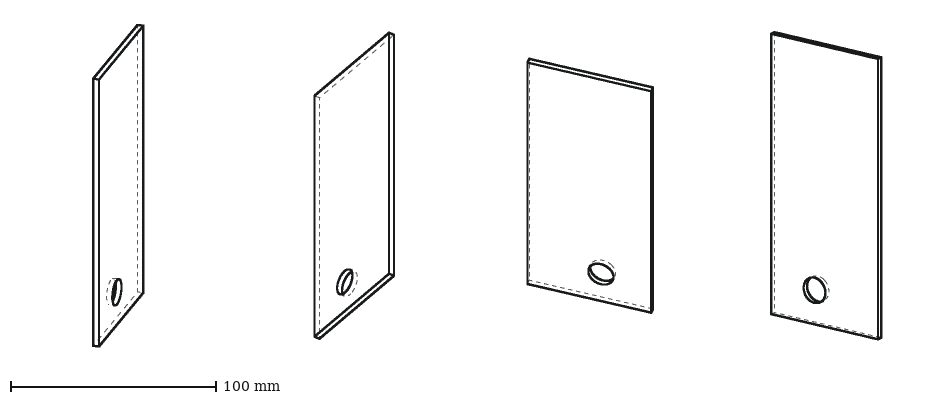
import cadquery as cq

plate_thickness = 3.0
plate_width = 64.0
plate_height = 144.8
turn_angle = 10.0

hole_diameter = 13.0
hole_height = 17.6
hole_edge_offset = 26.0


def make_plate():
    """Upright plate with its broad faces toward -X and +X, standing on Z = 0."""
    return cq.Workplane("XY").box(
        plate_thickness, plate_width, plate_height, centered=(True, True, False)
    )


def make_hole_cutter():
    """Cylinder along X that passes through the plate thickness."""
    hole_y = hole_edge_offset - plate_width / 2
    return (
        cq.Workplane("YZ")
        .center(hole_y, hole_height)
        .circle(hole_diameter / 2)
        .extrude(plate_thickness, both=True)
    )


drilled_plate = make_plate().cut(make_hole_cutter())
result = drilled_plate.rotate((0, 0, 0), (0, 0, 1), turn_angle)